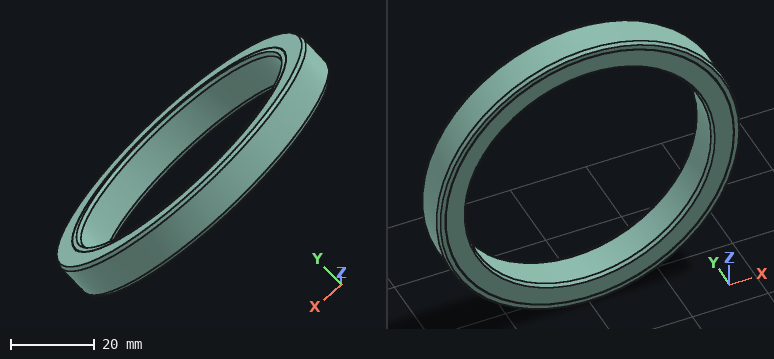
import cadquery as cq


outer_radius = 40.0
bore_radius = 32.5
depth = 10.0

chamfer_axial = 1.0
chamfer_radial = 0.6

gap = 0.2
lip_thickness = 1.8

front = -depth / 2
back = depth / 2
half_gap = gap / 2
outer_lip_radius = outer_radius - lip_thickness
inner_lip_radius = bore_radius + lip_thickness


def revolve_about_y(profile_points):
    """Turn a closed (radius, y) profile into a ring about the Y axis."""
    return cq.Workplane("XY").polyline(profile_points).close().revolve(360, (0, 0, 0), (0, 1, 0))


def make_outer_ring():
    """Thin lip at the front, wide flange at the back."""
    chamfered_radius = outer_radius - chamfer_radial
    return revolve_about_y([
        (outer_lip_radius, front),
        (chamfered_radius, front),
        (outer_radius, front + chamfer_axial),
        (outer_radius, back - chamfer_axial),
        (chamfered_radius, back),
        (inner_lip_radius + gap, back),
        (inner_lip_radius + gap, half_gap),
        (outer_lip_radius, half_gap),
    ])


def make_inner_ring():
    """Wide flange at the front, thin lip at the back."""
    chamfered_radius = bore_radius + chamfer_radial
    return revolve_about_y([
        (outer_lip_radius - gap, front),
        (chamfered_radius, front),
        (bore_radius, front + chamfer_axial),
        (bore_radius, back - chamfer_axial),
        (chamfered_radius, back),
        (inner_lip_radius, back),
        (inner_lip_radius, -half_gap),
        (outer_lip_radius - gap, -half_gap),
    ])


outer_ring = make_outer_ring()
inner_ring = make_inner_ring()

result = cq.Compound.makeCompound([outer_ring.val(), inner_ring.val()])